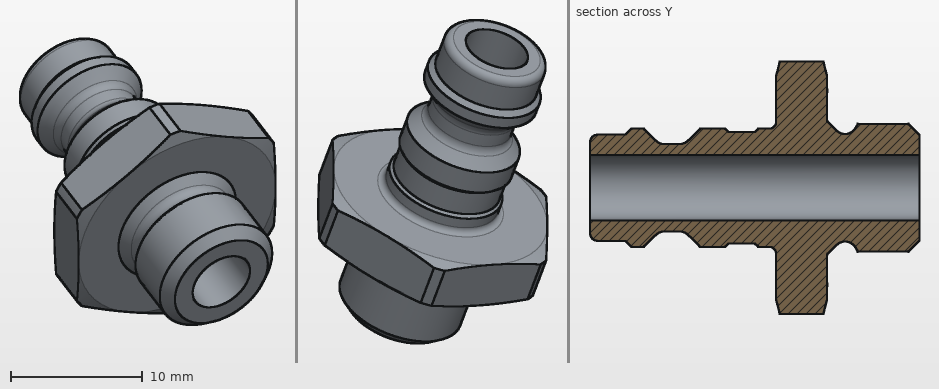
import cadquery as cq
import math


total_length = 25.0
collar_start = 2.7
collar_end = 4.1
neck_center = 6.22
groove_start = 10.25
groove_end = 12.75
nut_start = 14.1
nut_end = 18.0

bore_radius = 4.95 / 2
tip_radius = 8.1 / 2
body_radius = 9.0 / 2
neck_radius = 6.65 / 2
groove_radius = 8.5 / 2
thread_radius = 9.72 / 2
undercut_radius = 4.1
shoulder_radius = 5.08

tip_round = 0.6
neck_round = 1.0
nut_round = 0.5
undercut_round = 0.9
thread_chamfer = 0.85
undercut_exit_angle = math.radians(60)

nut_across_flats = 17.0
nut_corner_diameter = 19.15
nut_chamfer_angle = math.radians(15)

sin_45 = math.sin(math.radians(45))
collar_rise = body_radius - tip_radius
groove_depth = body_radius - groove_radius
neck_cone_end_radius = neck_radius + neck_round * (1 - sin_45)
neck_cone_run = body_radius - neck_cone_end_radius
neck_round_run = neck_round * sin_45
neck_start = collar_end + neck_cone_run + neck_round_run
neck_end = 2 * neck_center - neck_start

undercut_entry_radius = undercut_radius + undercut_round * (1 - sin_45)
undercut_entry = nut_end + shoulder_radius - undercut_entry_radius
undercut_center = undercut_entry + undercut_round * sin_45
undercut_exit = undercut_center + undercut_round * math.sin(undercut_exit_angle)
undercut_exit_radius = undercut_radius + undercut_round * (1 - math.cos(undercut_exit_angle))
thread_start_rise = thread_radius - undercut_exit_radius
thread_start = undercut_exit + thread_start_rise / math.tan(undercut_exit_angle)


def plug_and_stud():
    """Revolve the outer profile of the plug, its grooves and the threaded stud."""
    profile = (
        cq.Workplane("XY")
        .lineTo(0, tip_radius - tip_round)
        .radiusArc((tip_round, tip_radius), tip_round)
        .lineTo(collar_start, tip_radius)
        .lineTo(collar_start + collar_rise, body_radius)
        .lineTo(collar_end, body_radius)
        .lineTo(collar_end + neck_cone_run, neck_cone_end_radius)
        .radiusArc((neck_start, neck_radius), -neck_round)
        .lineTo(neck_end, neck_radius)
        .radiusArc((neck_end + neck_round_run, neck_cone_end_radius), -neck_round)
        .lineTo(neck_end + neck_round_run + neck_cone_run, body_radius)
        .lineTo(groove_start, body_radius)
        .lineTo(groove_start + groove_depth, groove_radius)
        .lineTo(groove_end - groove_depth, groove_radius)
        .lineTo(groove_end, body_radius)
        .lineTo(nut_start - nut_round, body_radius)
        .radiusArc((nut_start, body_radius + nut_round), -nut_round)
        .lineTo(nut_end, shoulder_radius)
        .lineTo(undercut_entry, undercut_entry_radius)
        .radiusArc((undercut_exit, undercut_exit_radius), -undercut_round)
        .lineTo(thread_start, thread_radius)
        .lineTo(total_length - thread_chamfer, thread_radius)
        .lineTo(total_length, thread_radius - thread_chamfer)
        .lineTo(total_length, 0)
        .close()
    )
    return profile.revolve(360, (0, 0, 0), (1, 0, 0))


def hex_nut():
    """Hexagon with corners up and down, trimmed by a turned blank chamfered on both faces."""
    hexagon = (
        cq.Workplane("YZ", origin=(nut_start, 0, 0))
        .polygon(6, nut_across_flats / math.cos(math.radians(30)))
        .extrude(nut_end - nut_start)
        .rotate((0, 0, 0), (1, 0, 0), 30)
    )
    face_radius = nut_across_flats / 2
    corner_radius = nut_corner_diameter / 2
    chamfer_run = (corner_radius - face_radius) * math.tan(nut_chamfer_angle)
    blank = (
        cq.Workplane("XY")
        .moveTo(nut_start, 0)
        .lineTo(nut_start, face_radius)
        .lineTo(nut_start + chamfer_run, corner_radius)
        .lineTo(nut_end - chamfer_run, corner_radius)
        .lineTo(nut_end, face_radius)
        .lineTo(nut_end, 0)
        .close()
        .revolve(360, (0, 0, 0), (1, 0, 0))
    )
    return hexagon.intersect(blank)


def bore():
    """Plain bore through the full length."""
    return cq.Workplane("YZ").circle(bore_radius).extrude(total_length)


result = plug_and_stud().union(hex_nut()).cut(bore())